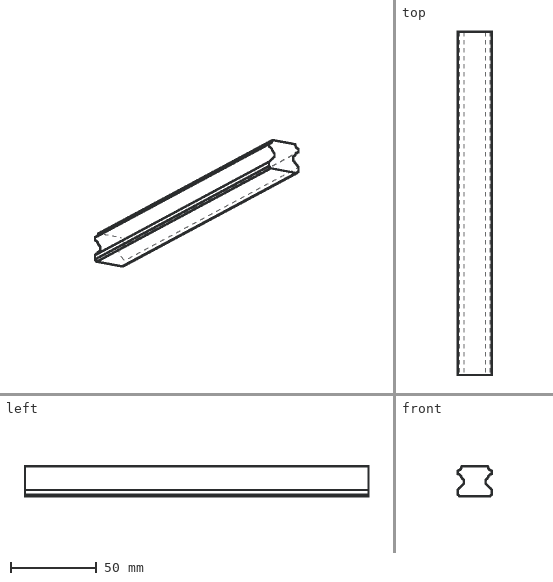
import cadquery as cq

rail_length = 200.0
rail_width = 20.0
rail_height = 17.5
half_width = rail_width / 2

base_chamfer = 1.2
base_side_top = 3.8
neck_half_width = 6.5
neck_top = 9.5
head_half_width = 7.8
lip_bottom = 13.0
lip_top = 15.0
race_radius = 2.5
head_edge_radius = 0.5
neck_corner_radius = 0.8

neck_bottom = base_side_top + half_width - neck_half_width
lower_race_end = neck_top + head_half_width - neck_half_width

plug_count = 4
plug_pitch = 60.0
plug_diameter = 9.5
plug_depth = 2.0


def round_edges(rail, corners, radius):
    """Fillet the long edges through the given (x, z) section corners, on both sides of the rail."""
    for x, z in corners:
        for side in (-1, 1):
            edge = rail.edges("|Y").edges(cq.NearestToPointSelector((side * x, 0, z)))
            rail = edge.fillet(radius)
    return rail


def make_rail():
    """Extrude the symmetric rail section along Y, centred on the origin in X and Y."""
    half_section = (
        cq.Workplane("XZ", origin=(0, rail_length / 2, 0))
        .lineTo(half_width - base_chamfer, 0)
        .lineTo(half_width, base_chamfer)
        .lineTo(half_width, base_side_top)
        .lineTo(neck_half_width, neck_bottom)
        .lineTo(neck_half_width, neck_top)
        .lineTo(head_half_width, lower_race_end)
        .radiusArc((half_width, lip_bottom), race_radius)
        .lineTo(half_width, lip_top)
        .radiusArc((head_half_width, rail_height), race_radius)
        .lineTo(0, rail_height)
        .mirrorY()
    )
    return half_section.extrude(rail_length)


def make_plugs():
    """Short cylinders whose upper ends lie in the top face of the rail."""
    return (
        cq.Workplane("XY", origin=(0, 0, rail_height))
        .rarray(2, plug_pitch, 1, plug_count)
        .circle(plug_diameter / 2)
        .extrude(-plug_depth)
    )


head_corners = [
    (head_half_width, lower_race_end),
    (half_width, lip_bottom),
    (half_width, lip_top),
    (head_half_width, rail_height),
]
neck_corners = [
    (neck_half_width, neck_bottom),
    (neck_half_width, neck_top),
]

rail = make_rail()
rail = round_edges(rail, head_corners, head_edge_radius)
rail = round_edges(rail, neck_corners, neck_corner_radius)
plugs = make_plugs()

result = rail.union(plugs, clean=False)